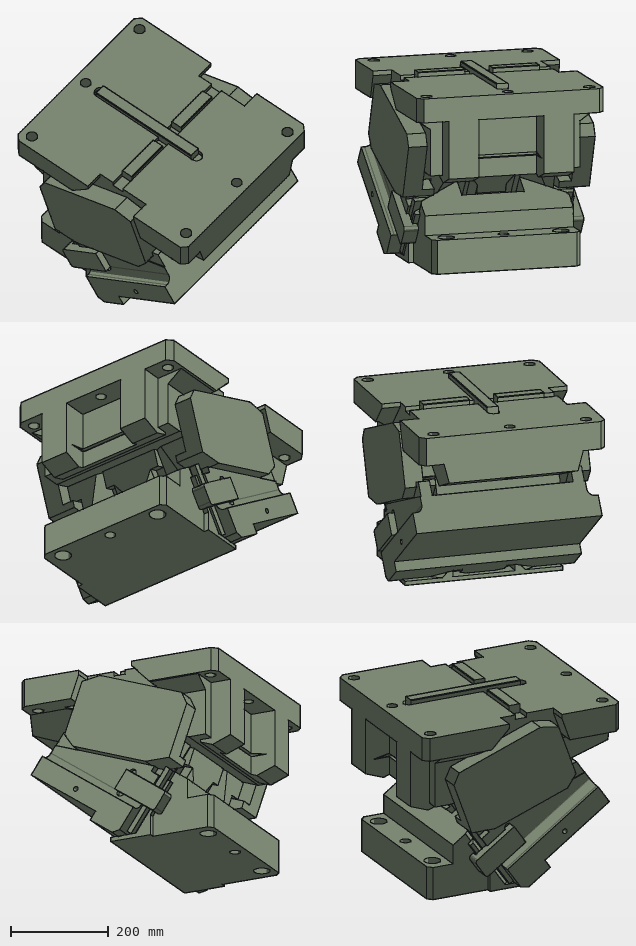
import cadquery as cq
import math


SIDES = (-1, 1)

WAY_ANGLE = 20
RAMP_ANGLE = 35


def turned(angle, along, across):
    """X and Z of a point given along and across a direction tilted by angle."""
    a = math.radians(angle)
    return along * math.cos(a) - across * math.sin(a), along * math.sin(a) + across * math.cos(a)


def way(along, across):
    return turned(WAY_ANGLE, along, across)


def ramp(along, across):
    return turned(RAMP_ANGLE, along, across)


def way_height(across, x):
    """Z of the line parallel to the way at the given distance across, at x."""
    a = math.radians(WAY_ANGLE)
    return across / math.cos(a) + x * math.tan(a)


def way_x(across, z):
    """X where the line parallel to the way at the given distance across reaches z."""
    a = math.radians(WAY_ANGLE)
    return (z - across / math.cos(a)) / math.tan(a)


def ramp_height(across, x):
    """Z of the line parallel to the ramp at the given distance across, at x."""
    a = math.radians(RAMP_ANGLE)
    return across / math.cos(a) + x * math.tan(a)


def slab(points, y_from, y_to):
    """Outline in XZ extruded from y_from to y_to."""
    flat = cq.Workplane("XZ", origin=(0, y_to, 0)).polyline(points).close()
    return flat.extrude(y_to - y_from)


def centred(points, half_width):
    return slab(points, -half_width, half_width)


def both_sides(points, y_inner, y_outer):
    return slab(points, y_inner, y_outer).union(slab(points, -y_outer, -y_inner))


def way_box(along_from, along_to, across_from, across_to):
    return [way(along_from, across_from), way(along_to, across_from),
            way(along_to, across_to), way(along_from, across_to)]


def ramp_box(along_from, along_to, across_from, across_to):
    return [ramp(along_from, across_from), ramp(along_to, across_from),
            ramp(along_to, across_to), ramp(along_from, across_to)]


def posts(places, diameter, height):
    """Upright cylinders standing on Z = 0."""
    return cq.Workplane("XY").pushPoints(places).circle(diameter / 2).extrude(height)


MOUNT_LENGTH = 450
HALF_WIDTH = 200
TOTAL_HEIGHT = 384
KEY_PROUD = 10
DECK = TOTAL_HEIGHT - KEY_PROUD
LEFT_THICKNESS = 50
RIGHT_THICKNESS = 59
LEFT_UNDERSIDE = DECK - LEFT_THICKNESS
RIGHT_UNDERSIDE = DECK - RIGHT_THICKNESS
PLATE_CHAMFER = 12

BODY_HALF = 160
LEG_HALF = 134
WINDOW_HALF = 70
WEB_X = 54
BODY_X = 44
BODY_BOTTOM = 203.5
LEG_TIP_X = 41
LEG_END_X = 69
SEAT = 163
SEAT_RELIEF = 8
SEAT_RIGHT = 408

SLIT_TOP = 239
SLIT_HEIGHT = 7
SLIT_DEPTH = 10
SLIT_TIP_X = 20
SLIT_NICK = 3

NOTCH_LEFT = 194
NOTCH_RIGHT = 314.5
NOTCH_LAND = 9.5

FLARE_WIDTH = 34
FLARE_HEIGHT = 24

HANGER_LEFT = 152.3
HANGER_RIGHT = 407.3
HANGER_BOTTOM = 85.5
HANGER_TOP = 242.4
HANGER_CHAMFER = 20
HANGER_TOP_CUT = 37
HANGER_BOTTOM_CUT = 27.5
HANGER_FLAT_Z = 149.7
LIP_TOP = 119

STOP_LEFT = 416.5
STOP_BOTTOM = 103
STOP_HALF_TOP = 150
STOP_DRAFT = 15

KEY_WIDTH = 25
KEY_CHAMFER = 1.5
LONG_KEY_FROM = 62.5
LONG_KEY_LENGTH = 251
LONG_SLOT_FROM = 51.5
LONG_SLOT_LENGTH = 279
CROSS_KEY_X = 240.7
CROSS_WIDTH = 26
CROSS_KEY_INNER = 30
CROSS_KEY_LENGTH = 100
KEY_SLOT_DEPTH = 9.5

BOLT_DIAMETER = 23
DOWEL_DIAMETER = 21.5
LEFT_HOLE_X = 25.5
RIGHT_HOLE_X = MOUNT_LENGTH - LEFT_HOLE_X
LEFT_BOLT_Y = 174.5
RIGHT_BOLT_Y = 164.5

DRIVER_LEFT = 30
DRIVER_RIGHT = 256
DRIVER_HALF = 159
FLANGE_HALF = 170
STEP_X = 85.4
STEP_Z = 71
ROOF = 43
FOOT_Z = 9
FLANGE_X = 165
FLANGE_BACK = 160.5
FLANGE_TOP = 21
FLANGE_CORNER = 8
VEE_CREST = 228
VEE_CREST_HALF = 67
VEE_ANGLE = 30
VEE_POCKET = 187
VEE_END_HALF = 155
VEE_SHOULDER = 169
DRIVER_CHAMFER = 10
DRIVER_HOLE_X = 56
DRIVER_BOLT_Y = 123
DRIVER_BOLT_DIAMETER = 34
DRIVER_DOWEL_DIAMETER = 22

SLIDE_HALF = 178
SLIDE_LEFT = 186.5
SLIDE_RIGHT = 440.3
TOOL_FACE = -109
HEEL_FACE = -130.5
HEEL_RIGHT = 260.3
HEEL_CHAMFER = 12.5
LEDGE = -64
LEDGE_FILLET = 15
SHOULDER = 84.5
NECK_LEFT = 182.5
NECK_RIGHT = 405
NECK_HALF = 133
RAIL_HALF = 159
RAIL_BOTTOM = 125
RAIL_TOP = 162
EAR_TOP = 115.5
EAR_LEFT = 408
EAR_INNER = 152
EAR_OUTER = 176
CORNER_STEP_RIGHT = 207.5
CORNER_STEP_BOTTOM = 19.5
CORNER_STEP_INNER = 162
KEEL_TIP_HALF = 31
KEEL_ROOT_HALF = 48
KEEL_TIP_END = 203
KEEL_ROOT_END = 209
NOSE_LEFT = 177
NOSE_FLARE = 3
NOSE_BOTTOM = -112
HOOK_LEFT = 143.5
HOOK_RIGHT = 253
HOOK_BOTTOM = -49.5
HOOK_TOP = -2.5
HOOK_OUTER = 192.5
HOOK_LIP_INNER = 162
HOOK_ARM_INNER = 172
HOOK_LIP_RIGHT = 158
HOOK_FILLET = 7
RELIEF_RADIUS = 8
RELIEF_DEPTH = 8
SIDE_HOLE = (321, 115.8)
SIDE_HOLE_DIAMETER = 10
SIDE_HOLE_DEPTH = 20


def top_plate():
    step_x = (NOTCH_LEFT + NOTCH_RIGHT) / 2
    outline = [(0, DECK), (0, LEFT_UNDERSIDE), (step_x, LEFT_UNDERSIDE), (step_x, RIGHT_UNDERSIDE),
               (MOUNT_LENGTH, RIGHT_UNDERSIDE), (MOUNT_LENGTH, DECK)]
    plate = centred(outline, HALF_WIDTH)
    return plate.edges("|Z and (<X or >X)").chamfer(PLATE_CHAMFER)


def mount_core():
    """Legs and body under the plate, with the sloping seat for the slide's rail."""
    relief = SEAT + SEAT_RELIEF
    seat_end = [way(SEAT_RIGHT, SEAT), way(SEAT_RIGHT, relief),
                (way_x(relief, RIGHT_UNDERSIDE), RIGHT_UNDERSIDE),
                (NOTCH_RIGHT, RIGHT_UNDERSIDE), (NOTCH_RIGHT, DECK)]
    legs = centred([(0, DECK), (0, BODY_BOTTOM), (LEG_TIP_X, way_height(SEAT, LEG_TIP_X)),
                    (LEG_END_X, way_height(SEAT, LEG_END_X)), (LEG_END_X, DECK)], LEG_HALF)
    body = centred([(BODY_X, DECK), (BODY_X, BODY_BOTTOM), (way_x(SEAT, BODY_BOTTOM), BODY_BOTTOM)]
                   + seat_end, BODY_HALF)
    window = centred([(0, 0), (WEB_X, 0), (WEB_X, LEFT_UNDERSIDE), (0, LEFT_UNDERSIDE)], WINDOW_HALF)
    slit_back = WEB_X + SLIT_DEPTH
    slit_bottom = SLIT_TOP - SLIT_HEIGHT
    slit = centred([(SLIT_TIP_X, slit_bottom), (slit_back, slit_bottom), (slit_back, SLIT_TOP),
                    (WEB_X, SLIT_TOP)], WINDOW_HALF + SLIT_NICK)
    return legs.union(body).cut(window).cut(slit)


def flares():
    """Sloping gussets between the body sides and the underside of the plate."""
    outline = [(BODY_HALF, LEFT_UNDERSIDE), (BODY_HALF + FLARE_WIDTH, LEFT_UNDERSIDE),
               (BODY_HALF, LEFT_UNDERSIDE - FLARE_HEIGHT)]
    flare = cq.Workplane("YZ", origin=(BODY_X, 0, 0)).polyline(outline).close().extrude(NOTCH_LEFT - BODY_X)
    return flare.union(flare.mirror("XZ"))


def side_notches():
    land = DECK - NOTCH_LAND
    floor = LEFT_UNDERSIDE - FLARE_HEIGHT
    lean = (land - floor) * math.tan(math.radians(WAY_ANGLE))
    outline = [(NOTCH_LEFT, DECK), (NOTCH_LEFT, land), (NOTCH_LEFT - (land - floor), floor),
               (NOTCH_RIGHT + lean, floor), (NOTCH_RIGHT, land), (NOTCH_RIGHT, DECK)]
    return both_sides(outline, BODY_HALF, HALF_WIDTH)


def hangers():
    """Side plates that carry the slide's rail on an inward lip."""
    a = math.radians(WAY_ANGLE)
    flat_left = (HANGER_LEFT - HANGER_FLAT_Z * math.sin(a)) / math.cos(a)
    outline = [way(HANGER_LEFT, HANGER_TOP - HANGER_CHAMFER), way(HANGER_LEFT + HANGER_CHAMFER, HANGER_TOP),
               way(HANGER_RIGHT - HANGER_TOP_CUT, HANGER_TOP), way(HANGER_RIGHT, HANGER_TOP - HANGER_CHAMFER),
               way(HANGER_RIGHT, HANGER_BOTTOM + HANGER_CHAMFER),
               way(HANGER_RIGHT - HANGER_BOTTOM_CUT, HANGER_BOTTOM),
               (way_x(HANGER_BOTTOM, HANGER_FLAT_Z), HANGER_FLAT_Z),
               (flat_left, HANGER_FLAT_Z)]
    plates = both_sides(outline, BODY_HALF, HALF_WIDTH)
    lip_zone = centred(way_box(HANGER_LEFT, HANGER_RIGHT, 0, LIP_TOP), HALF_WIDTH)
    lips = both_sides(outline, LEG_HALF, BODY_HALF).intersect(lip_zone)
    return plates.union(lips)


def stop_block():
    """Drafted block under the right end that limits the slide's travel."""
    outline = [way(STOP_LEFT, STOP_BOTTOM), (MOUNT_LENGTH, way_height(STOP_BOTTOM, MOUNT_LENGTH)),
               (MOUNT_LENGTH, RIGHT_UNDERSIDE), (way_x(SEAT + SEAT_RELIEF, RIGHT_UNDERSIDE), RIGHT_UNDERSIDE),
               way(STOP_LEFT, SEAT + SEAT_RELIEF)]
    drop = RIGHT_UNDERSIDE - way(STOP_LEFT, STOP_BOTTOM)[1]
    half_bottom = STOP_HALF_TOP - drop * math.tan(math.radians(STOP_DRAFT))
    section = [(-STOP_HALF_TOP, RIGHT_UNDERSIDE), (STOP_HALF_TOP, RIGHT_UNDERSIDE),
               (half_bottom, RIGHT_UNDERSIDE - drop), (-half_bottom, RIGHT_UNDERSIDE - drop)]
    drafted = cq.Workplane("YZ").polyline(section).close().extrude(MOUNT_LENGTH)
    return centred(outline, HALF_WIDTH).intersect(drafted)


def key_level():
    """Floor of the key slots."""
    return cq.Workplane("XY", origin=(0, 0, DECK - KEY_SLOT_DEPTH))


def key_slots():
    long_slot = key_level().center(LONG_SLOT_FROM + LONG_SLOT_LENGTH / 2, 0)
    long_slot = long_slot.slot2D(LONG_SLOT_LENGTH, KEY_WIDTH).extrude(KEY_SLOT_DEPTH)
    cross_slot = key_level().center(CROSS_KEY_X, 0).rect(CROSS_WIDTH, 2 * BODY_HALF)
    return long_slot.union(cross_slot.extrude(KEY_SLOT_DEPTH))


def keys():
    height = KEY_SLOT_DEPTH + KEY_PROUD
    long_key = key_level().center(LONG_KEY_FROM + LONG_KEY_LENGTH / 2, 0).rect(LONG_KEY_LENGTH, KEY_WIDTH)
    long_key = long_key.extrude(height).edges(">Z and |X").chamfer(KEY_CHAMFER)
    cross_y = CROSS_KEY_INNER + CROSS_KEY_LENGTH / 2
    cross_keys = key_level().pushPoints([(CROSS_KEY_X, side * cross_y) for side in SIDES])
    cross_keys = cross_keys.rect(CROSS_WIDTH, CROSS_KEY_LENGTH).extrude(height)
    return long_key.union(cross_keys.edges(">Z and |Y").chamfer(KEY_CHAMFER))


def mount_holes():
    bolts = [(LEFT_HOLE_X, side * LEFT_BOLT_Y) for side in SIDES]
    bolts += [(RIGHT_HOLE_X, side * RIGHT_BOLT_Y) for side in SIDES]
    dowels = [(LEFT_HOLE_X, 0), (RIGHT_HOLE_X, 0)]
    return posts(bolts, BOLT_DIAMETER, DECK).union(posts(dowels, DOWEL_DIAMETER, DECK))


def make_mount():
    mount = top_plate().union(mount_core()).union(flares()).cut(side_notches())
    mount = mount.union(stop_block()).union(hangers())
    return mount.cut(key_slots()).union(keys()).cut(mount_holes())


def ramp_prism(outline):
    """Outline of ramp distance and Y, extruded across the ramp through the whole part."""
    a = math.radians(RAMP_ANGLE)
    along = (math.cos(a), 0, math.sin(a))
    across = (-math.sin(a), 0, math.cos(a))
    plane = cq.Plane(origin=(0, 0, 0), xDir=along, normal=across)
    return cq.Workplane(plane).polyline(outline).close().extrude(MOUNT_LENGTH, both=True)


def vee_at(y):
    return VEE_CREST - (y - VEE_CREST_HALF) * math.tan(math.radians(VEE_ANGLE))


def vee_prism(flank, hollow):
    """Vee-shaped nose with the given outer corners, its middle hollowed along the given points."""
    upper = [(0, flank[0][1])] + flank + [(VEE_CREST, VEE_CREST_HALF)] + hollow
    return ramp_prism(upper + [(along, -y) for along, y in reversed(upper)])


FLANGE_EDGE = (vee_at(FLANGE_HALF), FLANGE_HALF)
POCKET_EDGE = [(VEE_POCKET, VEE_CREST_HALF)]


def driver_foot():
    outline = [(FLANGE_X, 0), (DRIVER_RIGHT, 0), (DRIVER_RIGHT, FOOT_Z), (FLANGE_X, FOOT_Z)]
    return centred(outline, FLANGE_HALF)


def driver_block():
    """Stepped block with a roof parallel to the ramp and a hollowed vee nose."""
    outline = [(DRIVER_LEFT, 0), (DRIVER_RIGHT, 0), (DRIVER_RIGHT, ramp_height(ROOF, DRIVER_RIGHT)),
               (STEP_X, ramp_height(ROOF, STEP_X)), (STEP_X, STEP_Z), (DRIVER_LEFT, STEP_Z)]
    block = centred(outline, DRIVER_HALF).edges("|Z and <X").chamfer(DRIVER_CHAMFER)
    flank = [(VEE_SHOULDER, DRIVER_HALF), (vee_at(VEE_END_HALF), VEE_END_HALF)]
    return block.intersect(vee_prism(flank, POCKET_EDGE))


def driver_flange():
    """Wider part of the vee that the slide's hooks reach behind."""
    back_bottom = ramp(FLANGE_BACK, HOOK_BOTTOM)
    outline = [(FLANGE_X, 0), (DRIVER_RIGHT, 0), (DRIVER_RIGHT, ramp_height(FLANGE_TOP, DRIVER_RIGHT)),
               ramp(FLANGE_BACK, FLANGE_TOP), back_bottom,
               (FLANGE_X, back_bottom[1] - FLANGE_CORNER)]
    return centred(outline, FLANGE_HALF).intersect(vee_prism([FLANGE_EDGE], POCKET_EDGE))


def make_driver():
    driver = driver_block().union(driver_flange()).union(driver_foot())
    bolts = [(DRIVER_HOLE_X, side * DRIVER_BOLT_Y) for side in SIDES]
    driver = driver.cut(posts(bolts, DRIVER_BOLT_DIAMETER, STEP_Z))
    return driver.cut(posts([(DRIVER_HOLE_X, 0)], DRIVER_DOWEL_DIAMETER, STEP_Z))


def ramp_meets_way(along_ramp, across_way):
    """X and Z where a line square to the ramp meets a line parallel to the way."""
    a = math.radians(RAMP_ANGLE - WAY_ANGLE)
    return way((along_ramp - across_way * math.sin(a)) / math.cos(a), across_way)


def tool_slab():
    """Wide slab with the tool face, a heel at its left end and a filleted ledge along each side."""
    corners = [(SLIDE_LEFT, HEEL_FACE + HEEL_CHAMFER), (SLIDE_LEFT + HEEL_CHAMFER, HEEL_FACE),
               (HEEL_RIGHT, HEEL_FACE), (HEEL_RIGHT, TOOL_FACE), (SLIDE_RIGHT, TOOL_FACE)]
    outline = [ramp(*corner) for corner in corners]
    outline += [ramp_meets_way(SLIDE_RIGHT, SHOULDER), ramp_meets_way(SLIDE_LEFT, SHOULDER)]
    fillet_top = LEDGE + LEDGE_FILLET
    fillet_edge = SLIDE_HALF + LEDGE_FILLET
    inset = LEDGE_FILLET * (1 - math.sqrt(0.5))
    a = math.radians(RAMP_ANGLE)
    end_x, end_z = ramp(SLIDE_LEFT, 0)
    end = cq.Plane(origin=(end_x, 0, end_z), xDir=(0, 1, 0), normal=(math.cos(a), 0, math.sin(a)))
    section = cq.Workplane(end).moveTo(0, HEEL_FACE).lineTo(HALF_WIDTH, HEEL_FACE).lineTo(HALF_WIDTH, LEDGE)
    section = section.lineTo(fillet_edge, LEDGE)
    section = section.threePointArc((SLIDE_HALF + inset, LEDGE + inset), (SLIDE_HALF, fillet_top))
    section = section.lineTo(SLIDE_HALF, HALF_WIDTH).lineTo(0, HALF_WIDTH).close()
    half = section.extrude(SLIDE_RIGHT - SLIDE_LEFT)
    slab_body = centred(outline, HALF_WIDTH).intersect(half.union(half.mirror("XZ")))
    corner_steps = ramp_box(SLIDE_LEFT, CORNER_STEP_RIGHT, CORNER_STEP_BOTTOM, HALF_WIDTH)
    return slab_body.cut(both_sides(corner_steps, CORNER_STEP_INNER, SLIDE_HALF))


def slab_nose():
    """Tapered strip that carries the slab's left end forward along the driver's vee."""
    tip_half = FLANGE_HALF
    root_half = tip_half + NOSE_FLARE
    plan = [(NOSE_LEFT, -tip_half), (SLIDE_LEFT, -root_half), (SLIDE_LEFT, root_half), (NOSE_LEFT, tip_half)]
    side = ramp_box(NOSE_LEFT, SLIDE_LEFT, NOSE_BOTTOM, ROOF)
    return ramp_prism(plan).intersect(centred(side, HALF_WIDTH))


def keel_cap():
    """Bridge over the keel that closes the top of the nose seat's hollow."""
    return centred(way_box(NECK_LEFT, NECK_RIGHT, RAIL_BOTTOM, RAIL_TOP), VEE_CREST_HALF)


def rail():
    """Neck and wider head that run between the hangers' lips and the mount's seat."""
    neck = centred(way_box(NECK_LEFT, NECK_RIGHT, SHOULDER, RAIL_BOTTOM), NECK_HALF)
    return neck.union(centred(way_box(NECK_LEFT, NECK_RIGHT, RAIL_BOTTOM, RAIL_TOP), RAIL_HALF))


def ears():
    """Upstands at the right end, one on each side of the mount's stop block."""
    outline = [way(EAR_LEFT, HANGER_BOTTOM + HANGER_CHAMFER), way(EAR_LEFT - HANGER_BOTTOM_CUT, SHOULDER),
               ramp_meets_way(SLIDE_RIGHT, SHOULDER),
               ramp_meets_way(SLIDE_RIGHT, EAR_TOP), way(EAR_LEFT, EAR_TOP)]
    return both_sides(outline, EAR_INNER, EAR_OUTER)


def hook_reliefs():
    """Round corner reliefs of the hooks' seats."""
    along = HOOK_RIGHT - RELIEF_RADIUS
    start = SLIDE_HALF - RELIEF_DEPTH
    centres = [ramp(along, across) for across in (HOOK_BOTTOM, HOOK_TOP)]
    circles = cq.Workplane("XZ", origin=(0, HALF_WIDTH, 0)).pushPoints(centres).circle(RELIEF_RADIUS)
    relief = circles.extrude(HALF_WIDTH - start)
    return relief.union(relief.mirror("XZ"))


def hooks():
    """Arms seated on the slab sides, with a lip that reaches behind the driver's flange."""
    arm = both_sides(ramp_box(HOOK_LEFT, HOOK_RIGHT, HOOK_BOTTOM, HOOK_TOP), HOOK_ARM_INNER, HOOK_OUTER)
    lip = ramp_box(HOOK_LEFT, HOOK_LIP_RIGHT, HOOK_BOTTOM, HOOK_TOP)
    hook = arm.union(both_sides(lip, HOOK_LIP_INNER, HOOK_ARM_INNER))
    return hook.edges("|Y and (<X or <Z)").fillet(HOOK_FILLET)


def side_holes():
    hole = cq.Workplane("XZ", origin=(0, SIDE_HOLE_DEPTH - HALF_WIDTH, 0)).center(*SIDE_HOLE)
    hole = hole.circle(SIDE_HOLE_DIAMETER / 2).extrude(SIDE_HOLE_DEPTH)
    return hole.union(hole.mirror("XZ"))


def make_slide():
    nose_seat = vee_prism([FLANGE_EDGE], [(VEE_CREST, KEEL_ROOT_HALF), (KEEL_ROOT_END, KEEL_ROOT_HALF),
                                          (KEEL_TIP_END, KEEL_TIP_HALF), (VEE_POCKET, KEEL_TIP_HALF)])
    slide = tool_slab().union(slab_nose()).union(rail()).union(ears())
    slide = slide.cut(nose_seat).union(keel_cap()).cut(driver_foot()).cut(hook_reliefs()).cut(side_holes())
    stop_channel = way_box(NECK_RIGHT, MOUNT_LENGTH, STOP_BOTTOM, RAIL_TOP)
    return slide.cut(centred(stop_channel, EAR_INNER)).union(hooks())


mount = make_mount()
driver = make_driver()
slide = make_slide()
result = cq.Compound.makeCompound([mount.val(), driver.val(), slide.val()])